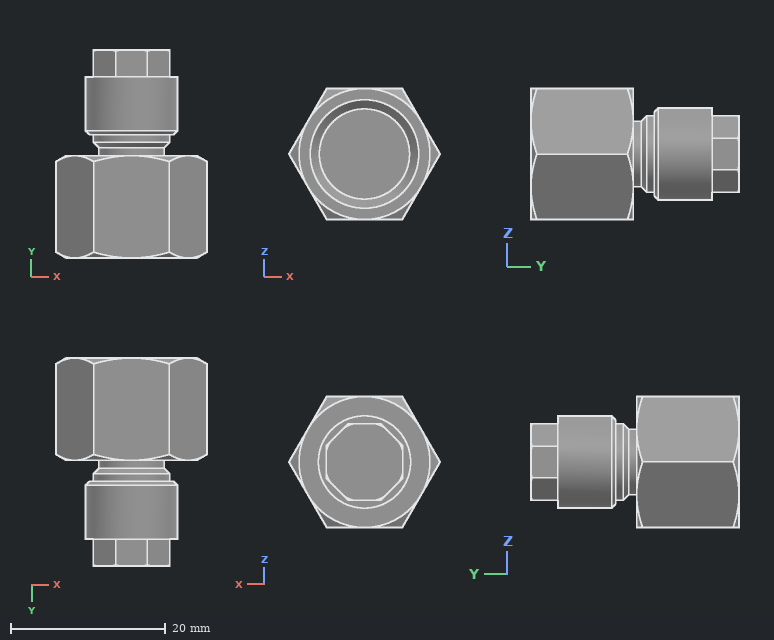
import cadquery as cq
import math

total_length = 27.0
corner_chamfer_angle = math.radians(30)

nut_flats = 17.0
nut_length = 13.28
nut_corners = nut_flats / math.cos(math.pi / 6)

recess_mouth_diameter = 14.1
recess_floor_diameter = 11.72
recess_cone_depth = (recess_mouth_diameter - recess_floor_diameter) / 2
recess_step = 0.32
recess_depth = recess_cone_depth + recess_step

neck_diameter = 8.55
neck_end = 14.35
collar_diameter = 9.95
cone_end = 15.05
collar_end = 15.98
sleeve_diameter = 12.0
sleeve_chamfer = 0.55
sleeve_end = 23.52

tail_flats = 10.0
tail_sides = 8
tail_end_diameter = 10.37


def revolve_about_y(profile):
    """Turn a closed (radius, Y) profile around the Y axis."""
    outline = cq.Workplane("XY").polyline(profile).close()
    return outline.revolve(360, (0, 0, 0), (0, 1, 0))


def make_nut():
    """Hexagonal prism with both ends turned down to the flats."""
    base = cq.Workplane("XZ", origin=(0, nut_length, 0))
    hexagon = base.polygon(6, nut_corners).extrude(nut_length)
    face_radius = nut_flats / 2
    corner_radius = nut_corners / 2
    drop = (corner_radius - face_radius) * math.tan(corner_chamfer_angle)
    envelope = revolve_about_y([
        (0, 0),
        (face_radius, 0),
        (corner_radius, drop),
        (corner_radius, nut_length - drop),
        (face_radius, nut_length),
        (0, nut_length),
    ])
    return hexagon.intersect(envelope)


def make_recess():
    return revolve_about_y([
        (0, 0),
        (recess_mouth_diameter / 2, 0),
        (recess_floor_diameter / 2, recess_cone_depth),
        (recess_floor_diameter / 2, recess_depth),
        (0, recess_depth),
    ])


def make_body():
    """Neck, tapered collar and chamfered sleeve; starts inside the nut."""
    neck_radius = neck_diameter / 2
    collar_radius = collar_diameter / 2
    sleeve_radius = sleeve_diameter / 2
    body_start = nut_length / 2
    return revolve_about_y([
        (0, body_start),
        (neck_radius, body_start),
        (neck_radius, neck_end),
        (collar_radius, cone_end),
        (collar_radius, collar_end),
        (sleeve_radius - sleeve_chamfer, collar_end),
        (sleeve_radius, collar_end + sleeve_chamfer),
        (sleeve_radius, sleeve_end),
        (0, sleeve_end),
    ])


def make_tail():
    """Octagonal prism with flats square to X and Z and its end corners turned down."""
    half_side = math.pi / tail_sides
    corner_diameter = tail_flats / math.cos(half_side)
    base = cq.Workplane("XZ", origin=(0, total_length, 0))
    octagon = base.polygon(tail_sides, corner_diameter).extrude(total_length - sleeve_end)
    octagon = octagon.rotate((0, 0, 0), (0, 1, 0), math.degrees(half_side))
    end_radius = tail_end_diameter / 2
    corner_radius = corner_diameter / 2
    drop = (corner_radius - end_radius) * math.tan(corner_chamfer_angle)
    envelope = revolve_about_y([
        (0, sleeve_end),
        (corner_radius, sleeve_end),
        (corner_radius, total_length - drop),
        (end_radius, total_length),
        (0, total_length),
    ])
    return octagon.intersect(envelope)


result = make_nut().union(make_body()).union(make_tail()).cut(make_recess())